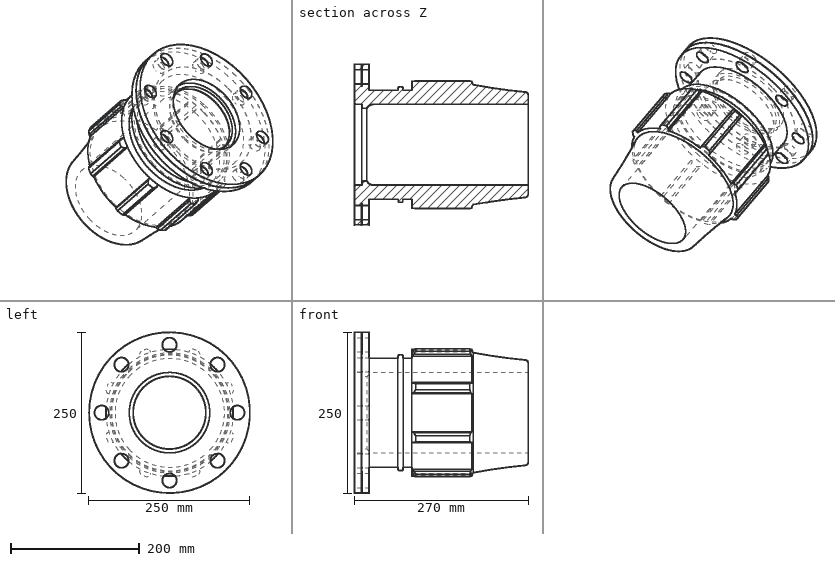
import cadquery as cq

LENGTH = 270.0

FLANGE_RADIUS = 250.0 / 2
FLANGE_THICKNESS = 22.7
FLANGE_GAP_START = 10.8
FLANGE_GAP_END = FLANGE_THICKNESS / 2
FLANGE_GAP_FLOOR_RADIUS = 182.8 / 2

BOLT_COUNT = 8
BOLT_HOLE_DIAMETER = 22.0
BOLT_CIRCLE_RADIUS = 105.3

BODY_RADIUS = 169.5 / 2
COLLAR_START = 67.5
COLLAR_END = 75.5
COLLAR_RADIUS = 180.0 / 2
COLLAR_FILLET = 2.7

NUT_START = 89.0
NUT_END = 184.1
NUT_RADIUS = 98.8
NUT_END_RADIUS = 93.5

RIB_COUNT = 8
RIB_TOP_RADIUS = 105.5
RIB_TOP_START = 95.0
RIB_TOP_END = 179.0
RIB_WIDTH = 17.3
RIB_CHAMFER = 3.8

NOSE_MIDDLE_RADIUS = 86.5
NOSE_END_RADIUS = 81.5
NOSE_FILLET = 5.5

BORE_RADIUS = 125.0 / 2
LIP_RADIUS = 112.5 / 2
LIP_START = FLANGE_GAP_END
LIP_END = 19.5
FLARE_LENGTH = 9.7


def revolve_about_x(profile):
    """Turn a closed profile drawn as (x, radius) in the XY plane about the X axis."""
    return profile.close().revolve(360, (0, 0, 0), (1, 0, 0))


def cylinder(start, end, radius):
    """Solid cylinder on the X axis between two X positions."""
    return cq.Workplane("YZ").workplane(offset=start).circle(radius).extrude(end - start)


def make_flange():
    disc = cylinder(0, FLANGE_THICKNESS, FLANGE_RADIUS)
    gap = cylinder(FLANGE_GAP_START, FLANGE_GAP_END, FLANGE_RADIUS).cut(
        cylinder(FLANGE_GAP_START, FLANGE_GAP_END, FLANGE_GAP_FLOOR_RADIUS)
    )
    holes = (
        cq.Workplane("YZ")
        .polarArray(BOLT_CIRCLE_RADIUS, 0, 360, BOLT_COUNT)
        .circle(BOLT_HOLE_DIAMETER / 2)
        .extrude(FLANGE_THICKNESS)
    )
    return disc.cut(gap).cut(holes)


def make_body():
    tube = cylinder(0, NUT_START, BODY_RADIUS)
    collar = cylinder(COLLAR_START, COLLAR_END, COLLAR_RADIUS).edges().fillet(COLLAR_FILLET)
    return tube.union(collar)


def make_rib_envelope():
    """Solid with conical ends that bounds both the nut and its ribs."""
    return revolve_about_x(
        cq.Workplane("XY")
        .moveTo(NUT_START, 0)
        .lineTo(NUT_START, NUT_RADIUS)
        .lineTo(RIB_TOP_START, RIB_TOP_RADIUS)
        .lineTo(RIB_TOP_END, RIB_TOP_RADIUS)
        .lineTo(NUT_END, NUT_END_RADIUS)
        .lineTo(NUT_END, 0)
    )


def make_nut():
    nut = cylinder(NUT_START, NUT_END, NUT_RADIUS)
    rib = (
        cq.Workplane("XY")
        .box(NUT_END - NUT_START, RIB_WIDTH, RIB_TOP_RADIUS, centered=(False, True, False))
        .edges("|X and >Z")
        .chamfer(RIB_CHAMFER)
        .translate((NUT_START, 0, 0))
    )
    rib_pitch = 360 / RIB_COUNT
    for index in range(RIB_COUNT):
        nut = nut.union(rib.rotate((0, 0, 0), (1, 0, 0), (index + 0.5) * rib_pitch))
    return nut.intersect(make_rib_envelope())


def make_nose():
    nose = revolve_about_x(
        cq.Workplane("XY")
        .moveTo(NUT_END, 0)
        .lineTo(NUT_END, NUT_END_RADIUS)
        .threePointArc(((NUT_END + LENGTH) / 2, NOSE_MIDDLE_RADIUS), (LENGTH, NOSE_END_RADIUS))
        .lineTo(LENGTH, 0)
    )
    return nose.faces(">X").edges().fillet(NOSE_FILLET)


def make_bore():
    """Hollow inside of the part; a rounded flare runs from the lip edge into the rear bore."""
    return revolve_about_x(
        cq.Workplane("XY")
        .moveTo(LENGTH, 0)
        .lineTo(LENGTH, BORE_RADIUS)
        .lineTo(LIP_END + FLARE_LENGTH, BORE_RADIUS)
        .tangentArcPoint((LIP_END, LIP_RADIUS), relative=False)
        .lineTo(LIP_START, LIP_RADIUS)
        .lineTo(LIP_START, BORE_RADIUS)
        .lineTo(0, BORE_RADIUS)
        .lineTo(0, 0)
    )


result = make_flange().union(make_body()).union(make_nut()).union(make_nose()).cut(make_bore())